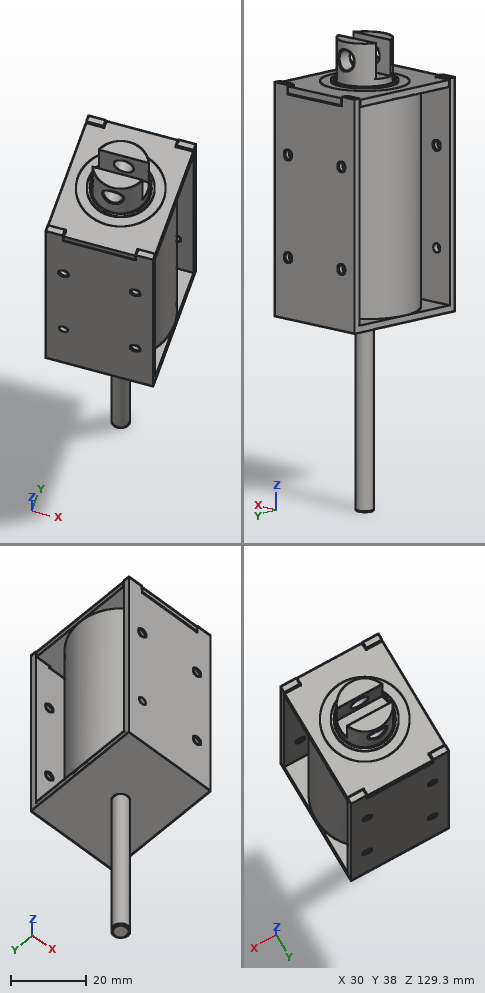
import cadquery as cq


FRAME_WIDTH = 30.0
FRAME_DEPTH = 38.0
FRAME_HEIGHT = 64.0
SHEET = 2.0
INNER_DEPTH = FRAME_DEPTH - 2 * SHEET

PLATE_DROP = 0.4
PLATE_TOP = FRAME_HEIGHT - PLATE_DROP
PLATE_BOTTOM = PLATE_TOP - SHEET
TAB_WIDTH = 19.9
TAB_CLEARANCE = 0.3
NOTCH_FILLET = 0.3

MOUNT_HOLE_DIAMETER = 2.5
MOUNT_CHAMFER = 0.3
MOUNT_SPACING_X = 20.0
MOUNT_SPACING_Z = 28.0
MOUNT_LOWEST_Z = 16.8

PLUNGER_DIAMETER = 15.0
PLUNGER_RISE = 11.5
PLUNGER_TOP = FRAME_HEIGHT + PLUNGER_RISE
PLUNGER_LENGTH = 45.3
PLUNGER_BOTTOM = PLUNGER_TOP - PLUNGER_LENGTH
FORK_SLOT_WIDTH = 5.5
FORK_SLOT_DEPTH = 9.8
PIN_HOLE_DIAMETER = 5.5
PIN_HOLE_CHAMFER = 0.3
PIN_HOLE_FROM_TOP = 5.0

FLANGE_DIAMETER = 23.9
COLLAR_DIAMETER = 18.1
COLLAR_RISE = 0.4
PLUNGER_BORE = 15.8
BUSHING_CHAMFER = 0.4

COIL_DIAMETER = FRAME_WIDTH
ROD_DIAMETER = 5.0
ROD_CHAMFER = 0.4
OVERALL_HEIGHT = 129.3
ROD_BOTTOM = PLUNGER_TOP - OVERALL_HEIGHT


def box(width, depth, bottom, top):
    """Box centred on the Z axis between two heights."""
    return (
        cq.Workplane("XY", origin=(0, 0, bottom))
        .rect(width, depth)
        .extrude(top - bottom)
    )


def cylinder(diameter, bottom, top):
    """Cylinder on the Z axis between two heights."""
    return cq.Workplane("XY", origin=(0, 0, bottom)).circle(diameter / 2).extrude(top - bottom)


def cross_holes(points, diameter):
    """Cutter for holes along Y through the full depth, at (X, Z) points."""
    return (
        cq.Workplane("XZ")
        .pushPoints(points)
        .circle(diameter / 2)
        .extrude(FRAME_DEPTH / 2, both=True)
    )


def has_chamfer(rim):
    """True for every mounting hole rim except those of the lower -X hole in the -Y wall."""
    center = rim.Center()
    is_lower = center.z < MOUNT_LOWEST_Z + MOUNT_SPACING_Z / 2
    return not (center.x < 0 and center.y < 0 and is_lower)


def make_frame():
    frame = box(FRAME_WIDTH, FRAME_DEPTH, 0, FRAME_HEIGHT)
    frame = frame.cut(box(FRAME_WIDTH, INNER_DEPTH, SHEET, FRAME_HEIGHT))

    notch_width = TAB_WIDTH + 2 * TAB_CLEARANCE
    notch = box(notch_width, FRAME_DEPTH, PLATE_BOTTOM - TAB_CLEARANCE, FRAME_HEIGHT)
    notch = notch.edges("|Y and <Z").fillet(NOTCH_FILLET)
    frame = frame.cut(notch)

    mount_points = [
        (side * MOUNT_SPACING_X / 2, MOUNT_LOWEST_Z + row * MOUNT_SPACING_Z)
        for side in (-1, 1)
        for row in (0, 1)
    ]
    frame = frame.cut(cross_holes(mount_points, MOUNT_HOLE_DIAMETER))
    hole_rims = frame.edges("%CIRCLE").edges(cq.selectors.RadiusNthSelector(-1))
    frame = hole_rims.filter(has_chamfer).chamfer(MOUNT_CHAMFER)
    return frame.cut(cylinder(ROD_DIAMETER, 0, SHEET))


def make_cover_plate():
    plate = box(FRAME_WIDTH, INNER_DEPTH - 2 * TAB_CLEARANCE, PLATE_BOTTOM, PLATE_TOP)
    plate = plate.union(box(TAB_WIDTH, FRAME_DEPTH, PLATE_BOTTOM, PLATE_TOP))
    return plate.cut(cylinder(FLANGE_DIAMETER, PLATE_BOTTOM, PLATE_TOP))


def make_bushing():
    collar_top = PLATE_TOP + COLLAR_RISE
    bushing = cylinder(FLANGE_DIAMETER, PLATE_BOTTOM, PLATE_TOP)
    bushing = bushing.union(cylinder(COLLAR_DIAMETER, PLATE_TOP, collar_top))
    bushing = bushing.cut(cylinder(PLUNGER_BORE, PLATE_BOTTOM, collar_top))
    return bushing.faces(">Z").edges(cq.selectors.RadiusNthSelector(0)).chamfer(BUSHING_CHAMFER)


def make_coil():
    coil = cylinder(COIL_DIAMETER, SHEET, PLATE_BOTTOM)
    coil = coil.cut(cylinder(PLUNGER_BORE, PLUNGER_BOTTOM, PLATE_BOTTOM))
    return coil.cut(cylinder(ROD_DIAMETER, SHEET, PLUNGER_BOTTOM))


def make_plunger():
    plunger = cylinder(PLUNGER_DIAMETER, PLUNGER_BOTTOM, PLUNGER_TOP)
    slot_bottom = PLUNGER_TOP - FORK_SLOT_DEPTH
    plunger = plunger.cut(box(PLUNGER_DIAMETER, FORK_SLOT_WIDTH, slot_bottom, PLUNGER_TOP))
    plunger = plunger.cut(cross_holes([(0, PLUNGER_TOP - PIN_HOLE_FROM_TOP)], PIN_HOLE_DIAMETER))
    return plunger.edges("not(%CIRCLE or %LINE)").chamfer(PIN_HOLE_CHAMFER)


def make_push_rod():
    rod = cylinder(ROD_DIAMETER, ROD_BOTTOM, PLUNGER_BOTTOM)
    return rod.faces("<Z").chamfer(ROD_CHAMFER)


frame = make_frame()
cover_plate = make_cover_plate()
bushing = make_bushing()
coil = make_coil()
plunger = make_plunger()
push_rod = make_push_rod()

result = cq.Compound.makeCompound(
    [frame.val(), cover_plate.val(), bushing.val(), coil.val(), plunger.val(), push_rod.val()]
)